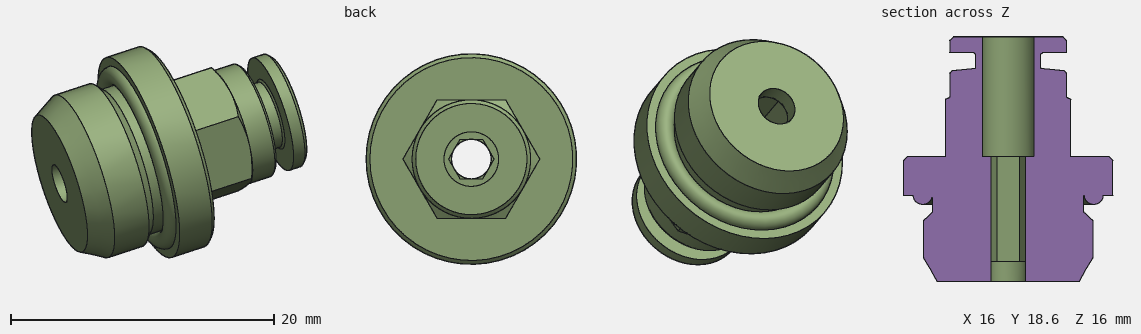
import cadquery as cq
import math

nose_cone_end = 1.8
nose_end = 4.63
groove_start = 5.28
seal_start = 5.84
flange_start = 6.53
flange_end = 9.5
hex_end = 14.02
sleeve_end = 16.03
neck_start = 16.2
neck_end = 17.26
collar_start = 17.4
total_length = 18.6

nose_tip_diameter = 10.94
nose_diameter = 13.0
groove_diameter = 11.6
seal_diameter = 14.58
flange_diameter = 16.0
sleeve_diameter = 9.0
neck_diameter = 5.2
neck_flare_diameter = 5.58

flange_chamfer = 0.3
sleeve_chamfer = 0.19
collar_chamfer = 0.28

hex_across_flats = sleeve_diameter
hex_corner_drop = 0.39

inlet_diameter = 3.0
inlet_depth = 1.5
socket_across_flats = inlet_diameter
socket_end = flange_end
tube_bore_diameter = 4.15


def across_corners(across_flats):
    """Corner-to-corner width of a regular hexagon."""
    return across_flats / math.cos(math.pi / 6)


def hex_prism(across_flats, start, end):
    """Hexagonal bar along Y with corners on the X axis."""
    plane = cq.Workplane("XZ", origin=(0, start, 0))
    return plane.polygon(6, across_corners(across_flats)).extrude(start - end)


def cylinder(diameter, start, end):
    """Round bar along Y."""
    return cq.Workplane("XZ", origin=(0, start, 0)).circle(diameter / 2).extrude(start - end)


def revolve_about_y(profile):
    return profile.close().revolve(360, (0, 0, 0), (0, 1, 0))


def turned_body():
    """Nose, groove, seal, flange, sleeve and release collar as one turned shape."""
    groove_radius = groove_diameter / 2
    seal_cord_radius = (seal_diameter / 2 - groove_radius) / 2
    seal_center_radius = groove_radius + seal_cord_radius
    seal_center_y = seal_start + seal_cord_radius
    half_width_at_flange = math.sqrt(seal_cord_radius**2 - (seal_center_y - flange_start) ** 2)
    seal_outer_at_flange = seal_center_radius + half_width_at_flange
    flange_radius = flange_diameter / 2
    sleeve_radius = sleeve_diameter / 2
    profile = (
        cq.Workplane("XY")
        .moveTo(0, 0)
        .lineTo(nose_tip_diameter / 2, 0)
        .lineTo(nose_diameter / 2, nose_cone_end)
        .lineTo(nose_diameter / 2, nose_end)
        .lineTo(groove_radius, groove_start)
        .lineTo(groove_radius, flange_start)
        .lineTo(seal_center_radius - half_width_at_flange, flange_start)
        .threePointArc((seal_center_radius, seal_start), (seal_outer_at_flange, flange_start))
        .lineTo(flange_radius, flange_start)
        .lineTo(flange_radius, flange_end - flange_chamfer)
        .lineTo(flange_radius - flange_chamfer, flange_end)
        .lineTo(sleeve_radius, flange_end)
        .lineTo(sleeve_radius, sleeve_end - sleeve_chamfer)
        .lineTo(sleeve_radius - sleeve_chamfer, sleeve_end)
        .lineTo(neck_diameter / 2, neck_start)
        .lineTo(neck_diameter / 2, neck_end)
        .lineTo(neck_flare_diameter / 2, collar_start)
        .lineTo(sleeve_radius, collar_start)
        .lineTo(sleeve_radius, total_length - collar_chamfer)
        .lineTo(sleeve_radius - collar_chamfer, total_length)
        .lineTo(0, total_length)
    )
    return revolve_about_y(profile)


def wrench_hex():
    """Hexagon whose collar-side corners are turned down to a cone."""
    corner_radius = across_corners(hex_across_flats) / 2
    envelope = revolve_about_y(
        cq.Workplane("XY")
        .moveTo(0, flange_end)
        .lineTo(corner_radius, flange_end)
        .lineTo(corner_radius, hex_end - hex_corner_drop)
        .lineTo(hex_across_flats / 2, hex_end)
        .lineTo(0, hex_end)
    )
    return hex_prism(hex_across_flats, flange_end, hex_end).intersect(envelope)


def passage():
    inlet = cylinder(inlet_diameter, 0, inlet_depth)
    socket = hex_prism(socket_across_flats, inlet_depth, socket_end)
    tube_bore = cylinder(tube_bore_diameter, socket_end, total_length)
    return inlet.union(socket).union(tube_bore)


result = turned_body().union(wrench_hex()).cut(passage())